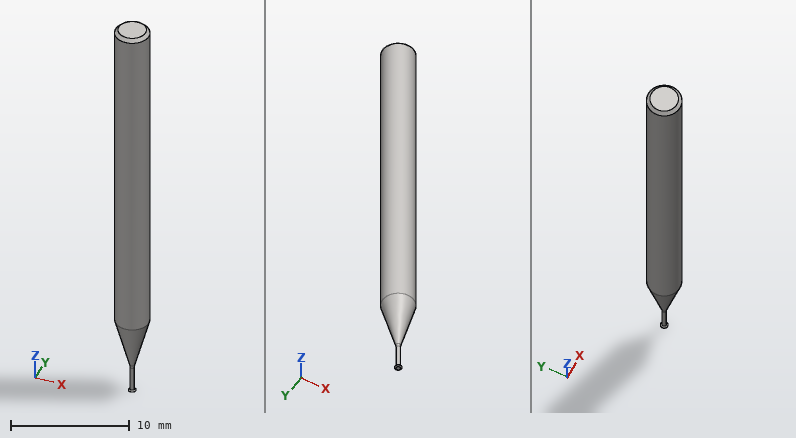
import cadquery as cq
import math

overall_length = 38.0
shank_radius = 3.0 / 2
end_chamfer = 0.3

neck_radius = 0.38 / 2
neck_top_z = 2.5
blend_radius = 1.0
taper_angle = math.radians(15)

head_radius = 0.67 / 2
head_height = 0.2


def blend_point(angle):
    """Radius and height on the neck blend where the wall leans outward by the given angle."""
    radius = neck_radius + blend_radius * (1 - math.cos(angle))
    height = neck_top_z + blend_radius * math.sin(angle)
    return radius, height


taper_bottom_radius, taper_bottom_z = blend_point(taper_angle)
taper_top_z = taper_bottom_z + (shank_radius - taper_bottom_radius) / math.tan(taper_angle)


def make_tool():
    """Revolve the half profile (radius, height) about the Z axis."""
    profile = (
        cq.Workplane("XZ")
        .lineTo(neck_radius, 0)
        .lineTo(head_radius, head_height / 2)
        .lineTo(neck_radius, head_height)
        .lineTo(neck_radius, neck_top_z)
        .threePointArc(blend_point(taper_angle / 2), (taper_bottom_radius, taper_bottom_z))
        .lineTo(shank_radius, taper_top_z)
        .lineTo(shank_radius, overall_length - end_chamfer)
        .lineTo(shank_radius - end_chamfer, overall_length)
        .lineTo(0, overall_length)
        .close()
    )
    return profile.revolve(360, (0, 0, 0), (0, 1, 0))


result = make_tool()